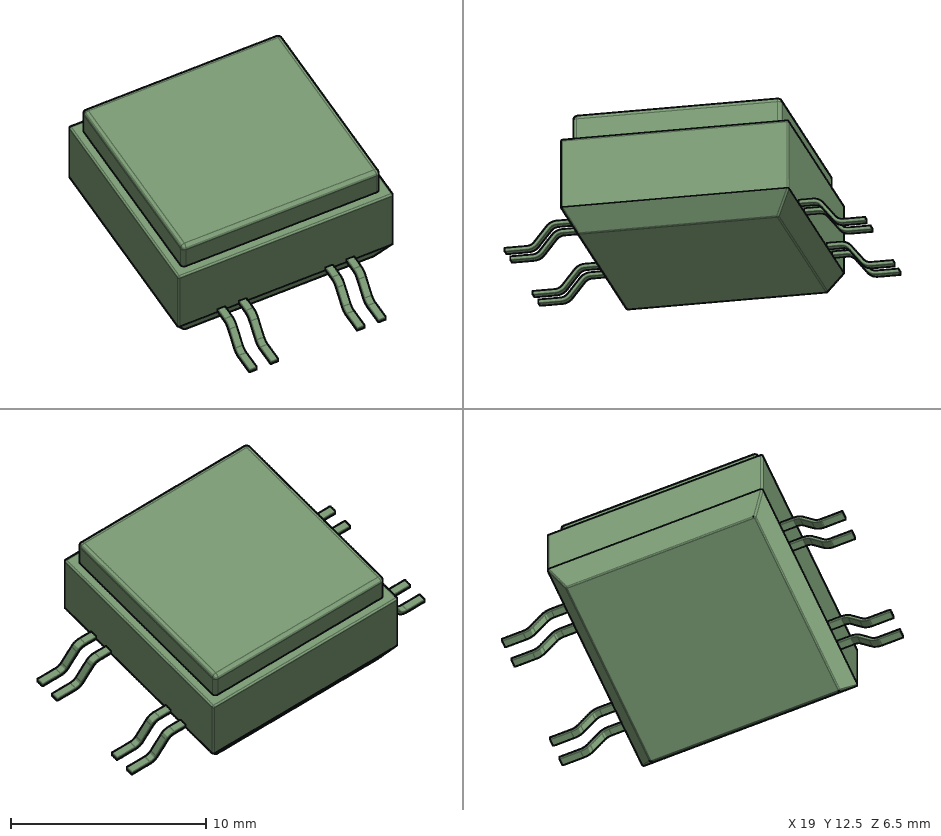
import cadquery as cq
import math

overall_length = 19.0
overall_height = 6.5

housing_x = 12.0
housing_y = 12.5
shoulder_z = 5.0
taper_height = 1.25
taper_angle = 30.0
taper_inset = taper_height * math.tan(math.radians(taper_angle))
housing_edge_radius = 0.1

lid_x = 11.0
lid_y = 11.5
lid_top_radius = 0.25
lid_corner_radius = 0.2

lead_width = 0.45
lead_thickness = 0.2
lead_edge_radius = 0.028
lead_inner_radius = 0.5
lead_outer_radius = lead_inner_radius + lead_thickness
foot_length = 1.46
knee_length = 1.0
lead_rise = taper_height
inner_lead_y = 2.5
outer_lead_y = 3.75
lead_rows = (-outer_lead_y, -inner_lead_y, inner_lead_y, outer_lead_y)


def rounded_outline(size_x, size_y):
    return cq.Sketch().rect(size_x, size_y).vertices().fillet(housing_edge_radius)


def make_housing():
    block = (
        cq.Workplane("XY")
        .workplane(offset=taper_height)
        .placeSketch(rounded_outline(housing_x, housing_y))
        .extrude(shoulder_z - taper_height)
    )
    base = (
        cq.Workplane("XY")
        .placeSketch(
            rounded_outline(housing_x - 2 * taper_inset, housing_y - 2 * taper_inset),
            rounded_outline(housing_x, housing_y).moved(cq.Location(cq.Vector(0, 0, taper_height))),
        )
        .loft()
    )
    body = block.union(base).faces("<Z or >Z").edges().fillet(housing_edge_radius)
    lid = (
        cq.Workplane("XY")
        .workplane(offset=shoulder_z)
        .rect(lid_x, lid_y)
        .extrude(overall_height - shoulder_z)
        .edges("|Z")
        .fillet(lid_corner_radius)
        .faces(">Z")
        .edges()
        .fillet(lid_top_radius)
    )
    return body.union(lid)


def make_lead(center_y):
    """Lead on the -X side: flat foot, sloping leg, flat end against the housing."""
    half = lead_thickness / 2
    tip_x = -overall_length / 2
    lower_x = tip_x + foot_length
    upper_x = lower_x + knee_length
    slope = math.atan2(lead_rise, knee_length)
    miter = half * math.tan(slope / 2)
    top_z = lead_rise + lead_thickness
    strip = (
        cq.Workplane("XZ", origin=(0, center_y + lead_width / 2, 0))
        .moveTo(tip_x, 0)
        .lineTo(lower_x + miter, 0)
        .lineTo(upper_x + miter, lead_rise)
        .lineTo(-housing_x / 2, lead_rise)
        .lineTo(-housing_x / 2, top_z)
        .lineTo(upper_x - miter, top_z)
        .lineTo(lower_x - miter, lead_thickness)
        .lineTo(tip_x, lead_thickness)
        .close()
        .extrude(lead_width)
    )

    def bend_edge(x, z):
        return cq.selectors.NearestToPointSelector((x, center_y, z))

    outer_bends = strip.edges("|Y").edges(bend_edge(lower_x + miter, 0)).add(
        strip.edges("|Y").edges(bend_edge(upper_x - miter, top_z))
    )
    strip = outer_bends.fillet(lead_outer_radius)
    inner_bends = strip.edges("|Y").edges(bend_edge(lower_x - miter, lead_thickness)).add(
        strip.edges("|Y").edges(bend_edge(upper_x + miter, lead_rise))
    )
    strip = inner_bends.fillet(lead_inner_radius)
    rounded_edges = strip.faces("<X or <Y or >Y").edges().edges("not >X")
    return rounded_edges.fillet(lead_edge_radius)


housing = make_housing()

leads = []
for row_y in lead_rows:
    left_lead = make_lead(row_y).val()
    leads.append(left_lead)
    leads.append(left_lead.mirror("YZ"))

result = cq.Compound.makeCompound([housing.val(), *leads])